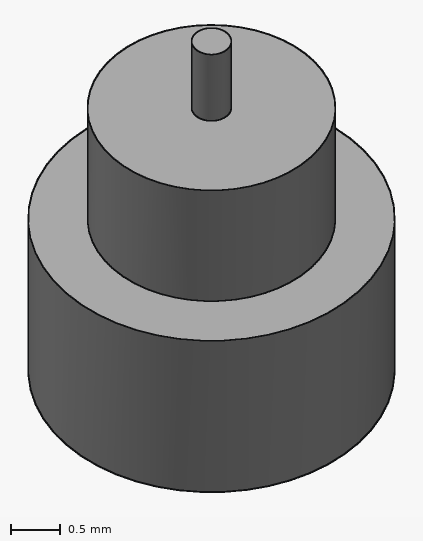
import cadquery as cq

total_height = 4.45
shoulder_height = 1.5
pin_height = 0.9
base_height = total_height - shoulder_height - pin_height

base_diameter = 3.7
shoulder_diameter = 2.5
insulator_diameter = 1.95
pin_diameter = 0.4

shoulder_top = base_height + shoulder_height


def cylinder(diameter, bottom, height):
    """Upright cylinder on the Z axis, starting at the given level."""
    return cq.Workplane("XY").workplane(offset=bottom).circle(diameter / 2).extrude(height)


base = cylinder(base_diameter, 0, base_height)
shoulder = cylinder(shoulder_diameter, base_height, shoulder_height)
insulator = cylinder(insulator_diameter, base_height, shoulder_height)
pin = cylinder(pin_diameter, shoulder_top, pin_height)

sleeve = shoulder.cut(insulator)
result = base.union(sleeve, clean=False).union(insulator, clean=False).union(pin, clean=False)